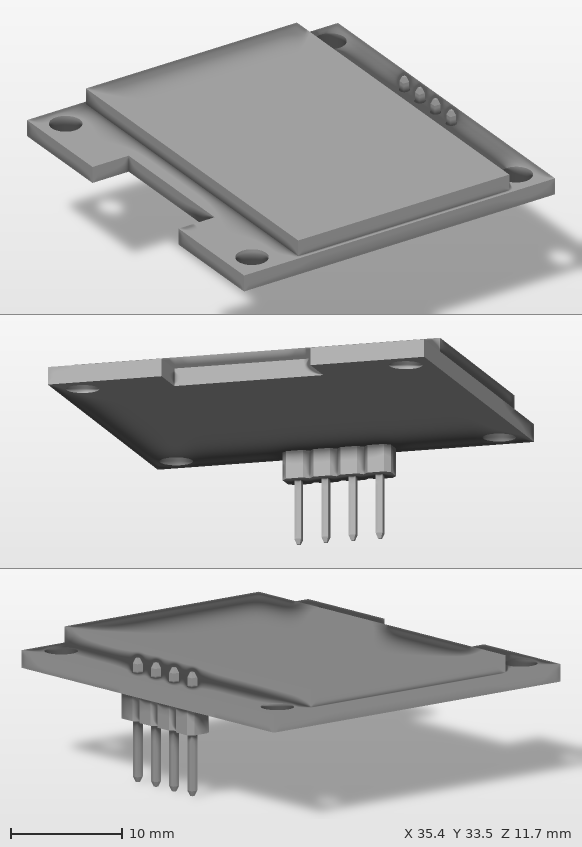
import cadquery as cq

total_height = 11.65

board_length = 35.4
board_width = 33.5
board_thickness = 1.63
notch_length = 14.02
notch_depth = 3.9

mount_inset = 2.5
mount_hole_diameter = 3.0
mount_ring_diameter = 4.5

screen_length = 34.62
screen_width = 22.73
screen_thickness = 1.6
screen_back_inset = 4.67

pin_count = 4
pin_pitch = 2.55
pin_back_inset = 2.02
pin_width = 0.65
pin_top = 1.35
pin_bottom = screen_thickness - total_height
pin_tip_length = 0.5
pin_tip_width = 0.3
pin_hole_diameter = 1.0
block_height = 2.55
block_chamfer = 0.5

back_edge = board_width / 2
pin_y = back_edge - pin_back_inset
pin_points = [((i - (pin_count - 1) / 2) * pin_pitch, pin_y) for i in range(pin_count)]
mount_x = board_length / 2 - mount_inset
mount_y = back_edge - mount_inset
mount_points = [(sx * mount_x, sy * mount_y) for sx in (-1, 1) for sy in (-1, 1)]


def make_board():
    """Notched board with seats for the mounting rings and holes for the pins."""
    board = cq.Workplane("XY").rect(board_length, board_width).extrude(-board_thickness)
    notch = (
        cq.Workplane("XY")
        .center(0, notch_depth / 2 - back_edge)
        .rect(notch_length, notch_depth)
        .extrude(-board_thickness)
    )
    ring_seats = (
        cq.Workplane("XY").pushPoints(mount_points).circle(mount_ring_diameter / 2).extrude(-board_thickness)
    )
    pin_holes = cq.Workplane("XY").pushPoints(pin_points).circle(pin_hole_diameter / 2).extrude(-board_thickness)
    return board.cut(notch).cut(ring_seats).cut(pin_holes)


def make_mount_ring(x, y):
    """Ring through the full thickness of the board."""
    return (
        cq.Workplane("XY")
        .center(x, y)
        .circle(mount_ring_diameter / 2)
        .circle(mount_hole_diameter / 2)
        .extrude(-board_thickness)
    )


def make_screen():
    """Plain rectangular panel."""
    screen_y = back_edge - screen_back_inset - screen_width / 2
    return cq.Workplane("XY").center(0, screen_y).rect(screen_length, screen_width).extrude(screen_thickness)


def make_tip(x, y, z, direction):
    """Tapered pin end starting at height z and pointing up (+1) or down (-1)."""
    return (
        cq.Workplane("XY", origin=(x, y, z))
        .rect(pin_width, pin_width)
        .workplane(offset=direction * pin_tip_length)
        .rect(pin_tip_width, pin_tip_width)
        .loft()
    )


def make_header_pin(x, y):
    """Square pin, tapered at both ends, in one piece with its octagonal block."""
    shank_top = pin_top - pin_tip_length
    shank_bottom = pin_bottom + pin_tip_length
    shank = (
        cq.Workplane("XY", origin=(x, y, shank_bottom))
        .rect(pin_width, pin_width)
        .extrude(shank_top - shank_bottom)
    )
    block = (
        cq.Workplane("XY", origin=(x, y, -board_thickness))
        .rect(pin_pitch, pin_pitch)
        .extrude(-block_height)
        .edges("|Z")
        .chamfer(block_chamfer)
    )
    top_tip = make_tip(x, y, shank_top, 1)
    bottom_tip = make_tip(x, y, shank_bottom, -1)
    return shank.union(block).union(top_tip).union(bottom_tip)


board = make_board()
screen = make_screen()
mount_rings = [make_mount_ring(x, y).val() for x, y in mount_points]
header_pins = [make_header_pin(x, y).val() for x, y in pin_points]

result = cq.Compound.makeCompound([board.val(), screen.val(), *mount_rings, *header_pins])